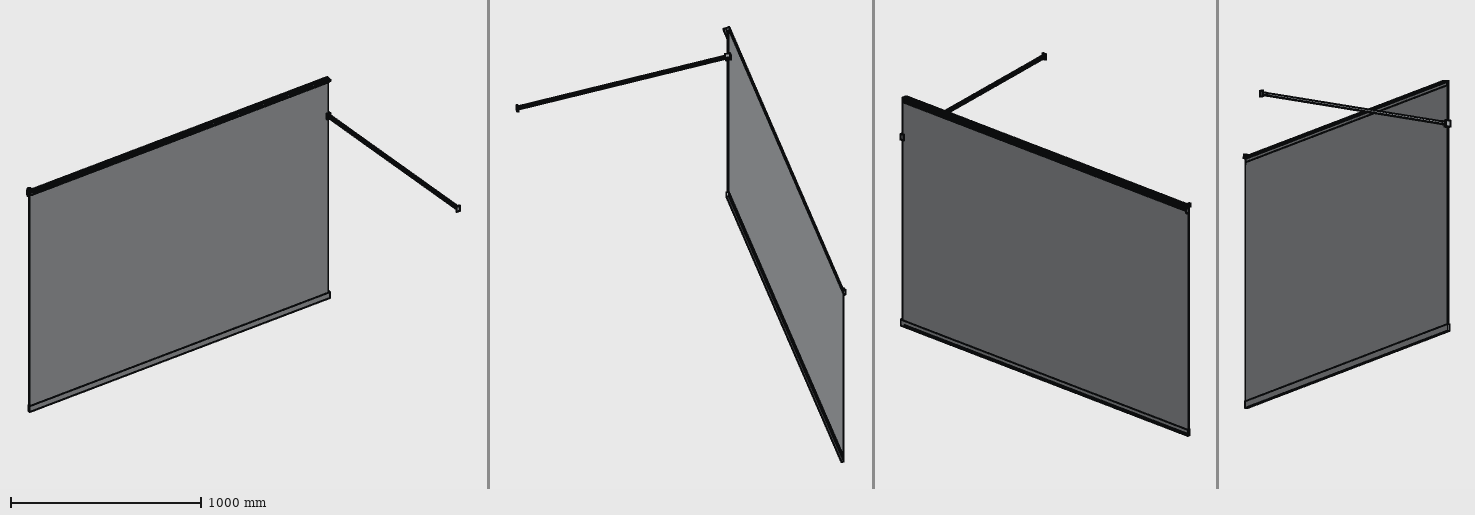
import cadquery as cq

OVERALL_X = 1187.57
OVERALL_Y = 1955.35
OVERALL_Z = 1375.08
OUTER_X = -18.0
WALL_X = OUTER_X + OVERALL_X
FAR_Y = -OVERALL_Y

GLASS_THICKNESS = 10.0
GLASS_START_Y = -10.0
GLASS_END_GAP = 1.5
GLASS_END_Y = FAR_Y + GLASS_END_GAP
GLASS_TOP = 1350.0

CHANNEL_WIDTH = 14.0
CHANNEL_HEIGHT = 36.0
CHANNEL_GROOVE_BOTTOM = 4.0
CHANNEL_GROOVE_TOP = 12.0
CHANNEL_GROOVE_DEPTH = 1.5
CHANNEL_END_BLOCK = 26.0

RAIL_OUTER_X = -6.7
RAIL_INNER_X = 8.0
RAIL_TOP = 1357.5
RAIL_BAND = 6.5
RAIL_BAND_COUNT = 4
RAIL_RIB_DEPTH = 1.5
WALL_INNER_X = -1.0
COVER_TOP = 1355.3
COVER_THICKNESS = 6.3
COVER_INNER_X = 11.0
LEDGE_INNER_X = 27.0
LEDGE_DROP = 1.0
LEDGE_END_GAP = 19.0

CAP_THICKNESS = 8.0
CAP_OUTER_X = -12.0
CAP_INNER_X = 14.0
CAP_BOTTOM = 1323.0
CAP_CORNER_RADIUS = 12.0
CAP_LEG_INNER_X = -1.0
CAP_OPENING_INNER_X = 10.5
CAP_OPENING_TOP = 1362.0
PAD_BOTTOM = 1329.5
PAD_TOP = 1354.5

STAY_Z = 1125.5
STAY_END_Y = -3.0
STAY_SIZE = 13.0
COLLAR_DIAMETER = 18.0
STAY_Y = STAY_END_Y - COLLAR_DIAMETER / 2
CLAMP_COLLAR_X = 23.0
CLAMP_COLLAR_LENGTH = 16.0
WALL_COLLAR_LENGTH = 25.0
CLAMP_OUTER_X = -12.5
CLAMP_INNER_X = 15.0
CLAMP_DEPTH = 20.5
CLAMP_HEIGHT = 33.0
FLANGE_THICKNESS = 7.5
FLANGE_DEPTH = 21.0
FLANGE_HEIGHT = 31.5


def block(x0, x1, y0, y1, z0, z1):
    """Box between two opposite corners."""
    box = cq.Workplane("XY").box(x1 - x0, y1 - y0, z1 - z0, centered=False)
    return box.translate((x0, y0, z0))


def glass_panel():
    half = GLASS_THICKNESS / 2
    return block(-half, half, GLASS_END_Y, GLASS_START_Y, 0, GLASS_TOP)


def bottom_channel():
    half = CHANNEL_WIDTH / 2
    channel = block(-half, half, GLASS_END_Y, 0, 0, CHANNEL_HEIGHT)
    groove = block(
        -half, -half + CHANNEL_GROOVE_DEPTH,
        GLASS_END_Y, -CHANNEL_END_BLOCK,
        CHANNEL_GROOVE_BOTTOM, CHANNEL_GROOVE_TOP,
    )
    return channel.cut(groove)


def top_rail():
    """Body with a ribbed outer wall, a cover over the glass and a ledge on the inner side."""
    end_y = FAR_Y + CAP_THICKNESS
    rail_bottom = RAIL_TOP - RAIL_BAND_COUNT * RAIL_BAND
    cover_bottom = COVER_TOP - COVER_THICKNESS
    body = block(RAIL_OUTER_X, RAIL_INNER_X, end_y, GLASS_START_Y, rail_bottom, COVER_TOP)
    wall = block(RAIL_OUTER_X, WALL_INNER_X, end_y, GLASS_START_Y, rail_bottom, RAIL_TOP)
    cover = block(0, COVER_INNER_X, end_y, GLASS_START_Y, cover_bottom, COVER_TOP)
    ledge = block(
        0, LEDGE_INNER_X,
        FAR_Y + LEDGE_END_GAP, GLASS_START_Y,
        cover_bottom, COVER_TOP - LEDGE_DROP,
    )
    rail = body.union(wall).union(cover).union(ledge)
    for band in range(1, RAIL_BAND_COUNT, 2):
        band_top = RAIL_TOP - band * RAIL_BAND
        rail = rail.cut(block(
            RAIL_OUTER_X, RAIL_OUTER_X + RAIL_RIB_DEPTH,
            end_y, GLASS_START_Y,
            band_top - RAIL_BAND, band_top,
        ))
    return rail


def rail_end_cap():
    end_y = FAR_Y + CAP_THICKNESS
    cap = (
        cq.Workplane("XZ", origin=(0, end_y, 0))
        .moveTo(CAP_OUTER_X, CAP_BOTTOM)
        .lineTo(CAP_LEG_INNER_X, CAP_BOTTOM)
        .lineTo(CAP_LEG_INNER_X, CAP_OPENING_TOP)
        .lineTo(CAP_OPENING_INNER_X, CAP_OPENING_TOP)
        .lineTo(CAP_OPENING_INNER_X, COVER_TOP)
        .lineTo(CAP_INNER_X, COVER_TOP)
        .lineTo(CAP_INNER_X, OVERALL_Z)
        .lineTo(CAP_OUTER_X + CAP_CORNER_RADIUS, OVERALL_Z)
        .radiusArc((CAP_OUTER_X, OVERALL_Z - CAP_CORNER_RADIUS), -CAP_CORNER_RADIUS)
        .close()
        .extrude(CAP_THICKNESS)
    )
    pad = block(OUTER_X, CAP_OUTER_X, FAR_Y, end_y, PAD_BOTTOM, PAD_TOP)
    return cap.union(pad)


def stay_rod(x0, x1):
    half = STAY_SIZE / 2
    return block(x0, x1, STAY_Y - half, STAY_Y + half, STAY_Z - half, STAY_Z + half)


def stay_collar(x0, length):
    plane = cq.Workplane("YZ", origin=(x0, STAY_Y, STAY_Z))
    return plane.circle(COLLAR_DIAMETER / 2).extrude(length)


def stay_plate(x0, x1, depth, height):
    """Plate across the stay, flush with its end face."""
    return block(
        x0, x1,
        STAY_END_Y - depth, STAY_END_Y,
        STAY_Z - height / 2, STAY_Z + height / 2,
    )


def stay():
    flange_x = WALL_X - FLANGE_THICKNESS
    clamp = stay_plate(CLAMP_OUTER_X, CLAMP_INNER_X, CLAMP_DEPTH, CLAMP_HEIGHT)
    flange = stay_plate(flange_x, WALL_X, FLANGE_DEPTH, FLANGE_HEIGHT)
    return (
        clamp
        .union(stay_rod(CLAMP_INNER_X, flange_x))
        .union(stay_collar(CLAMP_COLLAR_X, CLAMP_COLLAR_LENGTH))
        .union(stay_collar(flange_x - WALL_COLLAR_LENGTH, WALL_COLLAR_LENGTH))
        .union(flange)
    )


result = glass_panel()
for piece in (bottom_channel(), top_rail(), rail_end_cap(), stay()):
    result = result.union(piece)